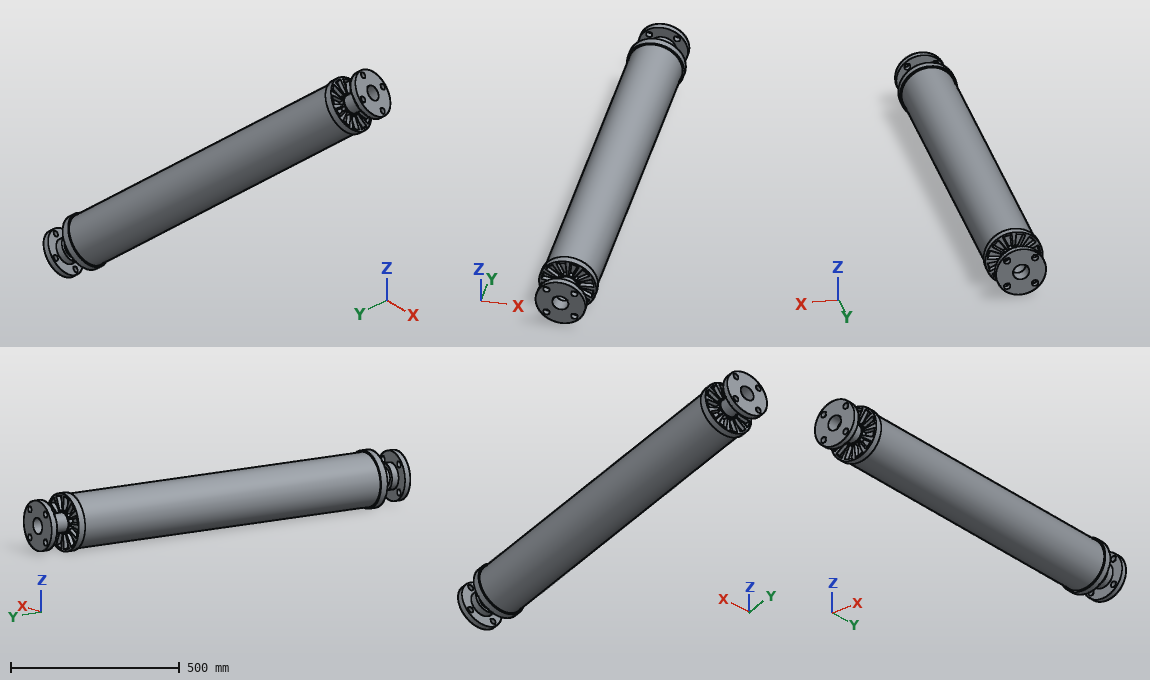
import cadquery as cq
import math

total_length = 1270.0
half_length = total_length / 2

flange_dia = 152.4
flange_thickness = 19.05
hub_dia = 82.4
flange_bore_dia = 49.25
hub_end_from_tip = 42.0
bolt_hole_dia = 18.92
bolt_circle_dia = 120.65
bolt_count = 4

pipe_dia = 60.33
pipe_bore_dia = 48.59

cap_dia = 175.41
cap_face_from_tip = 88.5
cap_width = 22.5
pocket_outer_dia = 162.0
pocket_inner_dia = 70.0
pocket_depth = 12.7
pocket_draft = 13.0
rib_count = 12
rib_inner_width = 5.0
rib_outer_width = 14.0

tube_dia = 165.1

flange_back = half_length - flange_thickness
hub_back = half_length - hub_end_from_tip
cap_face = half_length - cap_face_from_tip
cap_back = cap_face - cap_width


def cylinder(diameter, y_start, y_end):
    """Solid cylinder about the Y axis between two Y positions."""
    profile = cq.Workplane("XZ", origin=(0, y_start, 0)).circle(diameter / 2)
    return profile.extrude(y_start - y_end)


def flange():
    """Flange disc with its bolt holes straddling the X and Z axes."""
    disc = cylinder(flange_dia, flange_back, half_length)
    bolt_hole = cylinder(bolt_hole_dia, flange_back, half_length)
    for index in range(bolt_count):
        angle = math.radians(360 / bolt_count * (index + 0.5))
        x = bolt_circle_dia / 2 * math.cos(angle)
        z = bolt_circle_dia / 2 * math.sin(angle)
        disc = disc.cut(bolt_hole.translate((x, 0, z)))
    return disc


def polar_point(radius, angle):
    """Point at a radius and an angle in radians."""
    return (radius * math.cos(angle), radius * math.sin(angle))


def pocket():
    """Drafted pocket between the rib on the X axis and the next one."""
    inner = pocket_inner_dia / 2
    outer = pocket_outer_dia / 2
    pitch = 2 * math.pi / rib_count
    inner_start = math.asin(rib_inner_width / 2 / inner)
    outer_start = math.asin(rib_outer_width / 2 / outer)
    profile = (
        cq.Workplane("XZ", origin=(0, cap_face, 0))
        .moveTo(*polar_point(inner, inner_start))
        .lineTo(*polar_point(outer, outer_start))
        .threePointArc(polar_point(outer, pitch / 2), polar_point(outer, pitch - outer_start))
        .lineTo(*polar_point(inner, pitch - inner_start))
        .threePointArc(polar_point(inner, pitch / 2), polar_point(inner, inner_start))
        .close()
    )
    return profile.extrude(pocket_depth, taper=pocket_draft)


def end_cap():
    """Cap with a ring of pockets in its outward face."""
    cap = cylinder(cap_dia, cap_back, cap_face)
    cutter = pocket()
    for index in range(rib_count):
        cap = cap.cut(cutter.rotate((0, 0, 0), (0, 1, 0), 360 / rib_count * index))
    return cap


def end_fitting():
    """Everything beyond the tube on the +Y end."""
    pipe = cylinder(pipe_dia, cap_back, half_length)
    hub = cylinder(hub_dia, hub_back, flange_back)
    return end_cap().union(pipe).union(hub).union(flange())


fitting = end_fitting()
result = cylinder(tube_dia, -cap_back, cap_back)
result = result.union(fitting).union(fitting.mirror("XZ"))

result = result.cut(cylinder(pipe_bore_dia, -half_length, half_length))

result = result.cut(cylinder(flange_bore_dia, hub_back, half_length))
result = result.cut(cylinder(flange_bore_dia, -half_length, -hub_back))